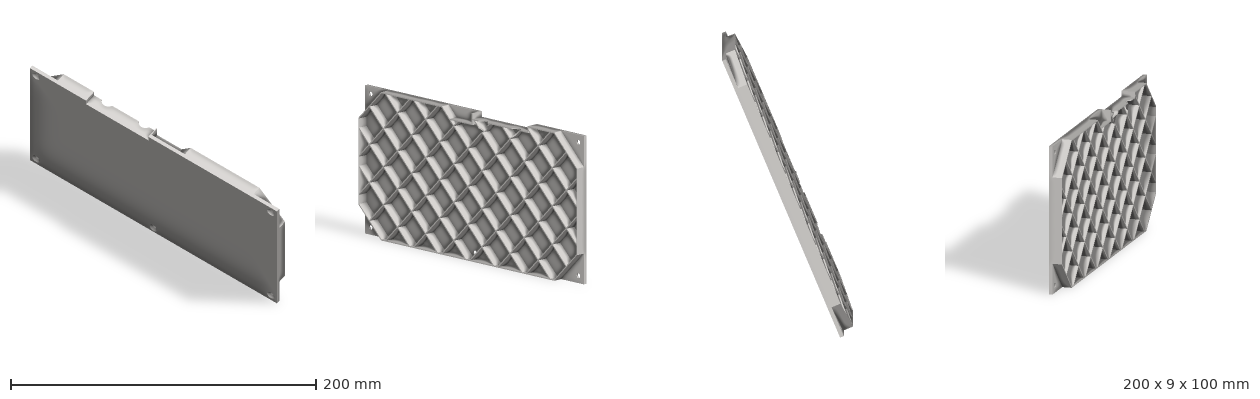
import cadquery as cq
import math

LENGTH = 200.0
DEPTH = 9.0
HEIGHT = 100.0

PLATE = 2.5
SKIN = 2.0
WALL = 0.7
RIB = 0.8

CORNER = 20.8

NOTCH_LEFT = 45.5
NOTCH_RIGHT = 95.8
NOTCH_FLOOR = 96.2

RELIEF_RIGHT = 123.5
RELIEF_DEPTH = 7.2
RELIEF_LEFT = NOTCH_RIGHT + WALL
RELIEF_FLOOR = HEIGHT - RELIEF_DEPTH

GROOVE_X = (55.8, 85.8)
GROOVE_RADIUS = 4.5
GROOVE_DEPTH = 2.8

RIB_SPACING = 18.2
RIB_PITCH = RIB_SPACING * math.sqrt(2)
RIB_CROSSINGS_ABOVE_CENTRE = 1.5
GROOVE_BOTTOM = HEIGHT / 2 + RIB_CROSSINGS_ABOVE_CENTRE * RIB_PITCH

HOLE_DIAMETER = 3.2
SINK_DIAMETER = 6.0
SINK_ANGLE = 82.0
CORNER_HOLE_INSET = 5.0
MIDDLE_HOLE_Z = 4.0


def box(x0, x1, y0, y1, z0, z1):
    """Box between two opposite corners."""
    return cq.Workplane("XY", origin=(x0, y0, z0)).box(x1 - x0, y1 - y0, z1 - z0, centered=False)


def body_profile(front):
    """Outline of the raised body, without the fin, in the plane Y = front."""
    outline = [
        (CORNER, 0),
        (LENGTH - CORNER, 0),
        (LENGTH, CORNER),
        (LENGTH, HEIGHT - CORNER),
        (LENGTH - CORNER, HEIGHT),
        (RELIEF_RIGHT, HEIGHT),
        (RELIEF_RIGHT - RELIEF_DEPTH, RELIEF_FLOOR),
        (RELIEF_LEFT, RELIEF_FLOOR),
        (RELIEF_LEFT, NOTCH_FLOOR),
        (NOTCH_LEFT, NOTCH_FLOOR),
        (NOTCH_LEFT, HEIGHT),
        (CORNER, HEIGHT),
        (0, HEIGHT - CORNER),
        (0, CORNER),
    ]
    return cq.Workplane("XZ", origin=(0, front, 0)).polyline(outline).close()


def make_shell():
    """Front plate and raised body, with the notch and the fin beside it."""
    plate = box(0, LENGTH, 0, PLATE, 0, HEIGHT)
    notch = box(NOTCH_LEFT, NOTCH_RIGHT, 0, PLATE, NOTCH_FLOOR, HEIGHT)
    body = body_profile(0).extrude(-DEPTH)
    fin = box(NOTCH_RIGHT, RELIEF_LEFT, 0, DEPTH, NOTCH_FLOOR, HEIGHT)
    return plate.cut(notch).union(body).union(fin)


def make_hollow():
    """Space inside the walls, open at the back."""
    return body_profile(SKIN).offset2D(-WALL, "intersection").extrude(SKIN - DEPTH)


def make_ribs():
    """Two families of parallel ribs at plus and minus 45 degrees."""
    rib_length = 2 * math.hypot(LENGTH, HEIGHT)
    ribs_each_side = math.ceil((LENGTH + HEIGHT) / 2 / RIB_PITCH)
    offsets = [(0, i * RIB_SPACING) for i in range(-ribs_each_side, ribs_each_side + 1)]
    family = (
        cq.Workplane("XZ", origin=(0, SKIN, 0))
        .pushPoints(offsets)
        .rect(rib_length, RIB)
        .extrude(SKIN - DEPTH)
    )
    rising = family.rotate((0, 0, 0), (0, 1, 0), -45)
    falling = family.rotate((0, 0, 0), (0, 1, 0), 45)
    return rising.union(falling).translate((LENGTH / 2, 0, HEIGHT / 2))


def make_grooves():
    """Half-round cuts through the notch floor and the ribs just below it."""
    centre_y = DEPTH + GROOVE_RADIUS - GROOVE_DEPTH
    return (
        cq.Workplane("XY", origin=(0, centre_y, GROOVE_BOTTOM))
        .pushPoints([(x, 0) for x in GROOVE_X])
        .circle(GROOVE_RADIUS)
        .extrude(NOTCH_FLOOR - GROOVE_BOTTOM)
    )


def make_screw_holes():
    """Through holes with conical countersinks in the front face."""
    places = [
        (x, z)
        for x in (CORNER_HOLE_INSET, LENGTH - CORNER_HOLE_INSET)
        for z in (CORNER_HOLE_INSET, HEIGHT - CORNER_HOLE_INSET)
    ]
    places.append((LENGTH / 2, MIDDLE_HOLE_Z))
    sink_radius = SINK_DIAMETER / 2
    hole_radius = HOLE_DIAMETER / 2
    sink_depth = (sink_radius - hole_radius) / math.tan(math.radians(SINK_ANGLE / 2))
    holes = cq.Workplane("XZ").pushPoints(places).circle(hole_radius).extrude(-DEPTH)
    for x, z in places:
        cone = cq.Solid.makeCone(
            sink_radius, hole_radius, sink_depth, cq.Vector(x, 0, z), cq.Vector(0, 1, 0)
        )
        holes = holes.union(cq.Workplane(cone))
    return holes


hollow = make_hollow().cut(make_ribs())
result = make_shell().cut(hollow).cut(make_grooves()).cut(make_screw_holes())